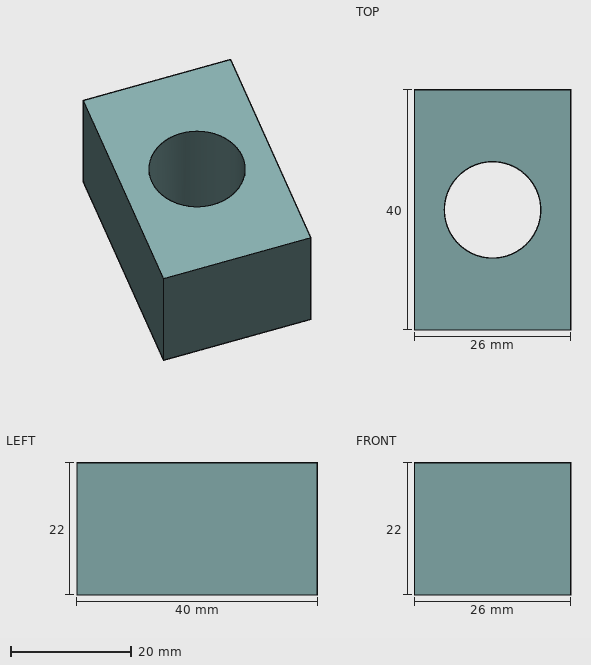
import cadquery as cq

block_width = 26.0
block_length = 40.0
block_height = 22.0

bore_diameter = 16.0


def make_block():
    """Plain rectangular block centred on the origin."""
    return cq.Workplane("XY").box(block_width, block_length, block_height)


def cut_bore(body):
    """Cut the central bore through the full height of the block."""
    return body.faces(">Z").workplane().hole(bore_diameter)


result = cut_bore(make_block())